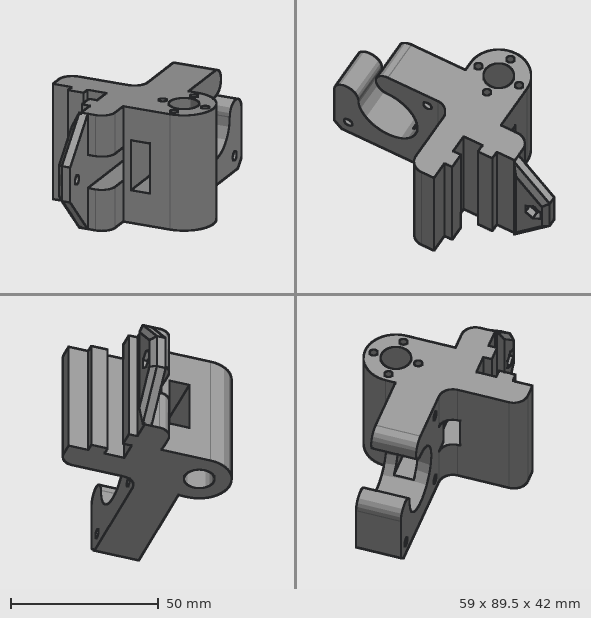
import cadquery as cq
import math

height = 42.0
mid_z = height / 2
length_y = 89.5

seat_length = 20.05
wing_thickness = 9.9
leg_thickness = 10.4
corner_radius = 5.0
ridge_height = 3.0
ridge_far = 13.0
wing_ridge_width = 5.9
leg_ridge_width = 5.6

boss_radius = 11.0
boss_x = 27.9
boss_y = 2.4
boss_back = boss_y + boss_radius
boss_front = boss_y - boss_radius
rod_hole_diameter = 10.4
boss_screw_diameter = 2.8
boss_screw_circle_radius = 8.0
boss_screw_depth = 10.0

arm_left = 8.4
arm_width = 16.0
bore_radius = 11.55
lobe_radius = (height / 2 - bore_radius) / 2
lobe_offset = bore_radius + lobe_radius
arm_chamfer = 2.95
screw_diameter = 3.2
arm_screw_offset = 15.5

tab_length = 14.0
tab_left = -2.6
tab_right = 2.5
tab_tip_width = 12.7
tab_chamfer = 2.0
tab_hole_to_tip = 5.5
nut_corner_diameter = 6.8
nut_depth = 3.0

tab_tip_y = -seat_length - tab_length
arm_end = tab_tip_y + length_y
bore_y = arm_end - height / 2

leg_window_height = 12.1
belt_window_left = 13.25
belt_window_width = 7.1
belt_window_height = 18.2


def box_between(x0, x1, y0, y1, z0, z1):
    return cq.Workplane("XY").box(x1 - x0, y1 - y0, z1 - z0, centered=False).translate((x0, y0, z0))


def x_cylinder(x0, x1, diameter, y, z):
    return cq.Workplane("YZ", origin=(x0, 0, 0)).center(y, z).circle(diameter / 2).extrude(x1 - x0)


def make_body():
    """Rail seat, boss and the concave blend to the arm."""
    diagonal = corner_radius * math.sqrt(0.5)
    wing_center = (-seat_length + corner_radius, wing_thickness - corner_radius)
    leg_center = (leg_thickness - corner_radius, -seat_length + corner_radius)
    blend_center = (arm_left - corner_radius, wing_thickness + corner_radius)
    ridge_near = ridge_far - wing_ridge_width
    leg_ridge_near = ridge_far - leg_ridge_width
    return (
        cq.Workplane("XY")
        .moveTo(0, 0)
        .lineTo(-ridge_near, 0)
        .lineTo(-ridge_near, -ridge_height)
        .lineTo(-ridge_far, -ridge_height)
        .lineTo(-ridge_far, 0)
        .lineTo(-seat_length, 0)
        .lineTo(-seat_length, wing_center[1])
        .threePointArc((wing_center[0] - diagonal, wing_center[1] + diagonal), (wing_center[0], wing_thickness))
        .lineTo(blend_center[0], wing_thickness)
        .threePointArc((blend_center[0] + diagonal, blend_center[1] - diagonal), (arm_left, blend_center[1]))
        .lineTo(arm_left + corner_radius, blend_center[1])
        .lineTo(arm_left + corner_radius, boss_back)
        .lineTo(boss_x, boss_back)
        .threePointArc((boss_x + boss_radius, boss_y), (boss_x, boss_front))
        .lineTo(leg_thickness, boss_front)
        .lineTo(leg_thickness, leg_center[1])
        .threePointArc((leg_center[0] + diagonal, leg_center[1] - diagonal), (leg_center[0], -seat_length))
        .lineTo(0, -seat_length)
        .lineTo(0, -ridge_far)
        .lineTo(-ridge_height, -ridge_far)
        .lineTo(-ridge_height, -leg_ridge_near)
        .lineTo(0, -leg_ridge_near)
        .close()
        .extrude(height)
    )


def make_arm():
    """Hook around the bore, open toward the upper end, with rounded tips."""
    lobe_y = bore_y + lobe_offset
    lobe_z = mid_z + lobe_offset
    bore_diagonal = bore_radius * math.sqrt(0.5)
    return (
        cq.Workplane("YZ", origin=(arm_left, 0, 0))
        .moveTo(wing_thickness, 0)
        .lineTo(arm_end - arm_chamfer, 0)
        .lineTo(arm_end, arm_chamfer)
        .lineTo(arm_end, mid_z)
        .threePointArc((lobe_y, mid_z + lobe_radius), (bore_y + bore_radius, mid_z))
        .threePointArc((bore_y - bore_diagonal, mid_z - bore_diagonal), (bore_y, mid_z + bore_radius))
        .threePointArc((bore_y + lobe_radius, lobe_z), (bore_y, height))
        .lineTo(wing_thickness, height)
        .close()
        .extrude(arm_width)
    )


def make_tab():
    """Tapered tab whose -X face is chamfered all round."""
    tip_half = tab_tip_width / 2
    outline = [
        (-seat_length, 0),
        (-seat_length, height),
        (tab_tip_y, mid_z + tip_half),
        (tab_tip_y, mid_z - tip_half),
    ]
    return (
        cq.Workplane("YZ", origin=(tab_left, 0, 0))
        .polyline(outline)
        .close()
        .extrude(tab_right - tab_left)
        .faces("<X")
        .edges()
        .chamfer(tab_chamfer)
    )


def cut_boss_holes(part):
    part = part.cut(cq.Workplane("XY").center(boss_x, boss_y).circle(rod_hole_diameter / 2).extrude(height))
    screws = (
        cq.Workplane("XY", origin=(boss_x, boss_y, height))
        .polarArray(boss_screw_circle_radius, 0, 360, 4)
        .circle(boss_screw_diameter / 2)
        .extrude(-boss_screw_depth)
    )
    return part.cut(screws)


def cut_arm_holes(part):
    for side_y, side_z in [(-1, -1), (-1, 1), (1, -1)]:
        y = bore_y + side_y * arm_screw_offset
        z = mid_z + side_z * arm_screw_offset
        part = part.cut(x_cylinder(arm_left, arm_left + arm_width, screw_diameter, y, z))
    return part


def cut_tab_hole(part):
    """Screw hole with a hexagonal nut recess, corners pointing along Z."""
    hole_y = tab_tip_y + tab_hole_to_tip
    recess = (
        cq.Workplane("YZ")
        .polygon(6, nut_corner_diameter)
        .extrude(nut_depth)
        .rotate((0, 0, 0), (1, 0, 0), 90)
        .translate((tab_left, hole_y, mid_z))
    )
    return part.cut(x_cylinder(tab_left, tab_right, screw_diameter, hole_y, mid_z)).cut(recess)


def cut_windows(part):
    """Window through the leg, wing and blend, and belt window from the front into the bore."""
    bottom = mid_z - leg_window_height / 2
    top = mid_z + leg_window_height / 2
    blend_end = wing_thickness + corner_radius
    leg_window = box_between(tab_right, leg_thickness, -seat_length, wing_thickness, bottom, top)
    blend_gap = box_between(tab_right, arm_left, wing_thickness, blend_end, bottom, top)
    belt_window = box_between(
        belt_window_left,
        belt_window_left + belt_window_width,
        boss_front,
        bore_y,
        mid_z - belt_window_height / 2,
        mid_z + belt_window_height / 2,
    )
    return part.cut(leg_window).cut(blend_gap).cut(belt_window)


part = make_body().union(make_arm()).union(make_tab())
part = cut_boss_holes(part)
part = cut_arm_holes(part)
part = cut_tab_hole(part)
result = cut_windows(part)